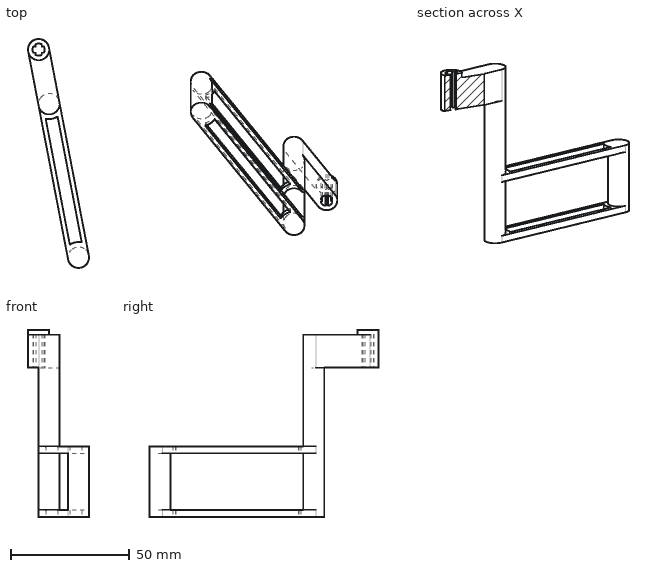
import cadquery as cq
import math

size_x = 25.9
size_y = 97.0
size_z = 79.25
post_diameter = 9.0

post_radius = post_diameter / 2
run_x = size_x - post_diameter
run_y = size_y - post_diameter
line_length = math.hypot(run_x, run_y)
line_angle = math.degrees(math.atan2(-run_y, run_x))
upper_arm_length = 23.4
hub_place = 0.0
main_place = upper_arm_length
outer_place = line_length

collar_height = 2.0
upper_arm_height = 14.0
main_post_height = size_z - collar_height
upper_arm_base = main_post_height - upper_arm_height
frame_height = 30.0
rail_thickness = 3.0

slot_width = 5.0
slot_post_wall = 2.0

axle_diameter = 5.0
axle_bar_width = 2.5


def post(place, base, top, radius=post_radius):
    """Vertical cylinder on the centre line, at a distance from the hub."""
    return cq.Workplane("XY", origin=(place, 0, base)).circle(radius).extrude(top - base)


def bar(start, end, base, height, width):
    """Straight rectangular bar running along the centre line."""
    middle = (start + end) / 2
    return cq.Workplane("XY", origin=(middle, 0, base)).rect(end - start, width).extrude(height)


def slotted_plate(base):
    """Frame plate with a slot whose ends are concentric with the posts."""
    top = base + rail_thickness
    end_radius = post_radius + slot_post_wall
    slot = bar(main_place, outer_place, base, rail_thickness, slot_width)
    for place in (main_place, outer_place):
        slot = slot.cut(post(place, base, top, end_radius))
    plate = bar(main_place, outer_place, base, rail_thickness, post_diameter)
    return plate.cut(slot)


def axle_hole():
    """Two crossed bars, parallel to X and Y, with rounded tips."""
    base = cq.Workplane("XY", origin=(0, 0, upper_arm_base))
    height = size_z - upper_arm_base
    cross = base.rect(axle_diameter, axle_bar_width).extrude(height)
    cross = cross.union(base.rect(axle_bar_width, axle_diameter).extrude(height))
    return cross.intersect(base.circle(axle_diameter / 2).extrude(height))


body = post(main_place, 0, main_post_height)
body = body.union(post(hub_place, upper_arm_base, size_z))
body = body.union(bar(hub_place, main_place, upper_arm_base, upper_arm_height, post_diameter))
body = body.union(post(outer_place, 0, frame_height))
for plate_base in (0, frame_height - rail_thickness):
    body = body.union(slotted_plate(plate_base))

result = body.rotate((0, 0, 0), (0, 0, 1), line_angle).cut(axle_hole())